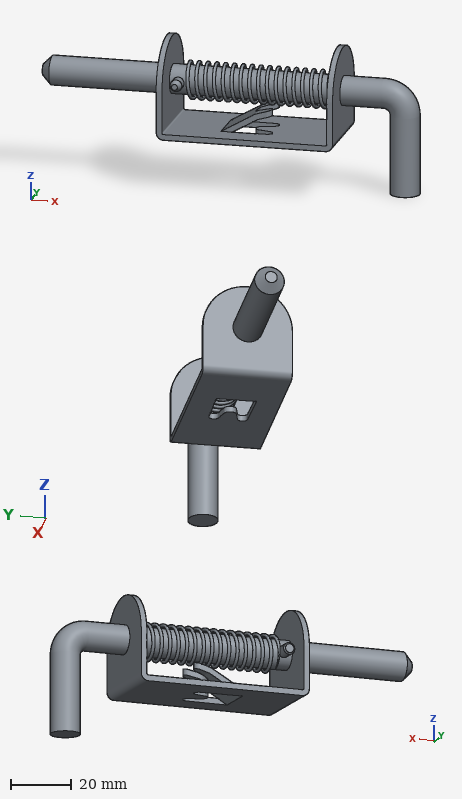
import cadquery as cq
import math


bracket_length = 60.0
bracket_width = 30.0
sheet = 2.0
bracket_floor_z = -17.0
inner_bend = 0.5
outer_bend = inner_bend + sheet
ear_radius = bracket_width / 2
floor_top_z = bracket_floor_z + sheet

tongue_width = 13.5
tongue_start_x = 20.0
tongue_end_x = 37.0
tongue_angle = 30.0
tongue_tip_angle = 16.0
tongue_bend_x = 31.6
tongue_side_taper = 1.0
prong_end_radius = 1.7
notch_angle = 15.0
notch_root_y = 2.1

bolt_radius = 5.0
bolt_tip_x = -42.0
tip_chamfer = 3.0
bend_radius = 7.0
handle_x = 81.0
handle_bottom_z = -34.0
shank_end_x = handle_x - bend_radius

pin_radius = 2.0
pin_x = 5.0
pin_length = 20.0
pin_point_length = 2.0
pin_point_radius = 1.0
pin_back_chamfer = 0.5

wire_radius = 0.55
spring_clearance = 0.45
coil_radius = bolt_radius + spring_clearance + wire_radius
coil_pitch = 3.0
spring_start_x = pin_x + pin_radius
spring_end_x = bracket_length - sheet


def make_fork():
    """Plan shape of the tongue, as a tall block; it is also the shape of the floor opening."""
    half_width = tongue_width / 2
    taper = math.radians(tongue_side_taper)
    flare = math.radians(notch_angle)
    prong_x = tongue_end_x - prong_end_radius
    outer_x = prong_x + prong_end_radius * math.sin(taper)
    outer_y = half_width - (outer_x - tongue_start_x) * math.tan(taper)
    prong_y = outer_y - prong_end_radius * math.cos(taper)
    nose = math.pi / 4
    nose_x = prong_x + prong_end_radius * math.cos(nose)
    nose_y = prong_y + prong_end_radius * math.sin(nose)
    inner_x = prong_x + prong_end_radius * math.sin(flare)
    inner_y = prong_y - prong_end_radius * math.cos(flare)
    root_x = inner_x - (inner_y - notch_root_y) / math.tan(flare)
    notch_radius = notch_root_y / math.cos(flare)
    notch_bottom_x = root_x + notch_radius * math.sin(flare) - notch_radius
    return (
        cq.Workplane("XY", origin=(0, 0, bracket_floor_z))
        .moveTo(tongue_start_x, -half_width)
        .lineTo(outer_x, -outer_y)
        .threePointArc((nose_x, -nose_y), (inner_x, -inner_y))
        .lineTo(root_x, -notch_root_y)
        .threePointArc((notch_bottom_x, 0), (root_x, notch_root_y))
        .lineTo(inner_x, inner_y)
        .threePointArc((nose_x, nose_y), (outer_x, outer_y))
        .lineTo(tongue_start_x, half_width)
        .close()
        .extrude(-bracket_floor_z)
    )


def make_tongue():
    """Tongue rising from the floor, then bending to a flatter tip."""
    slope = math.radians(tongue_angle)
    tip_slope = math.radians(tongue_tip_angle)
    mean_slope = (slope + tip_slope) / 2
    crease_depth = sheet / math.cos((slope - tip_slope) / 2)
    bend_z = floor_top_z + (tongue_bend_x - tongue_start_x) * math.tan(slope)
    tip_z = bend_z + (tongue_end_x - tongue_bend_x) * math.tan(tip_slope)
    under_tip_z = tip_z - sheet / math.cos(tip_slope)
    under_bend_x = tongue_bend_x + crease_depth * math.sin(mean_slope)
    under_bend_z = bend_z - crease_depth * math.cos(mean_slope)
    under_root_x = under_bend_x - (under_bend_z - bracket_floor_z) / math.tan(slope)
    profile = (
        cq.Workplane("XZ")
        .moveTo(tongue_start_x, bracket_floor_z)
        .lineTo(tongue_start_x, floor_top_z)
        .lineTo(tongue_bend_x, bend_z)
        .lineTo(tongue_end_x, tip_z)
        .lineTo(tongue_end_x, under_tip_z)
        .lineTo(under_bend_x, under_bend_z)
        .lineTo(under_root_x, bracket_floor_z)
        .close()
        .extrude(tongue_width, both=True)
    )
    return profile.intersect(make_fork())


def make_bracket():
    strip_top_z = ear_radius
    strip = (
        cq.Workplane("XZ")
        .moveTo(0, strip_top_z)
        .lineTo(0, bracket_floor_z)
        .lineTo(bracket_length, bracket_floor_z)
        .lineTo(bracket_length, strip_top_z)
        .lineTo(bracket_length - sheet, strip_top_z)
        .lineTo(bracket_length - sheet, floor_top_z)
        .lineTo(sheet, floor_top_z)
        .lineTo(sheet, strip_top_z)
        .close()
        .extrude(bracket_width / 2, both=True)
    )
    strip = strip.faces("<Z").edges("|Y").fillet(outer_bend)
    inner_corners = cq.selectors.BoxSelector(
        (sheet / 2, -bracket_width, floor_top_z - sheet / 2),
        (bracket_length - sheet / 2, bracket_width, floor_top_z + sheet / 2),
    )
    strip = strip.edges(inner_corners).edges("|Y").fillet(inner_bend)

    ear_outline = (
        cq.Workplane("YZ")
        .moveTo(-ear_radius, bracket_floor_z)
        .lineTo(-ear_radius, 0)
        .threePointArc((0, ear_radius), (ear_radius, 0))
        .lineTo(ear_radius, bracket_floor_z)
        .close()
        .extrude(bracket_length)
    )
    bolt_hole = cq.Workplane("YZ").circle(bolt_radius).extrude(bracket_length)
    bored = strip.intersect(ear_outline).cut(bolt_hole)
    return bored.cut(make_fork()).union(make_tongue())


def make_bolt():
    shank = (
        cq.Workplane("YZ", origin=(bolt_tip_x, 0, 0))
        .circle(bolt_radius)
        .extrude(shank_end_x - bolt_tip_x)
        .faces("<X")
        .chamfer(tip_chamfer)
    )
    elbow = (
        cq.Workplane("YZ", origin=(shank_end_x, 0, 0))
        .circle(bolt_radius)
        .revolve(90, (0, -bend_radius, 0), (1, -bend_radius, 0))
    )
    handle = (
        cq.Workplane("XY", origin=(handle_x, 0, handle_bottom_z))
        .circle(bolt_radius)
        .extrude(-bend_radius - handle_bottom_z)
    )
    return shank.union(elbow).union(handle).union(make_cross_pin())


def make_cross_pin():
    half_length = pin_length / 2
    return (
        cq.Workplane("XY", origin=(pin_x, 0, 0))
        .moveTo(0, -half_length)
        .lineTo(pin_point_radius, -half_length)
        .lineTo(pin_radius, -half_length + pin_point_length)
        .lineTo(pin_radius, half_length - pin_back_chamfer)
        .lineTo(pin_radius - pin_back_chamfer, half_length)
        .lineTo(0, half_length)
        .close()
        .revolve(360, (0, 0, 0), (0, 1, 0))
    )


def make_spring():
    """Right-hand coil, trimmed flat at both ends."""
    helix_start_x = spring_start_x - coil_pitch / 4
    helix_length = spring_end_x - spring_start_x + coil_pitch
    helix = cq.Wire.makeHelix(coil_pitch, helix_length, coil_radius)
    coil = (
        cq.Workplane("XZ", origin=(coil_radius, 0, 0))
        .circle(wire_radius)
        .sweep(cq.Workplane(helix), isFrenet=True)
        .rotate((0, 0, 0), (0, 1, 0), 90)
        .translate((helix_start_x, 0, 0))
    )
    trimmed_space = (
        cq.Workplane("YZ", origin=(spring_start_x, 0, 0))
        .circle(2 * coil_radius)
        .extrude(spring_end_x - spring_start_x)
    )
    return coil.intersect(trimmed_space)


bracket = make_bracket()
bolt = make_bolt()
spring = make_spring()

bodies = [*bracket.solids().vals(), *bolt.solids().vals(), *spring.solids().vals()]
result = cq.Compound.makeCompound(bodies)